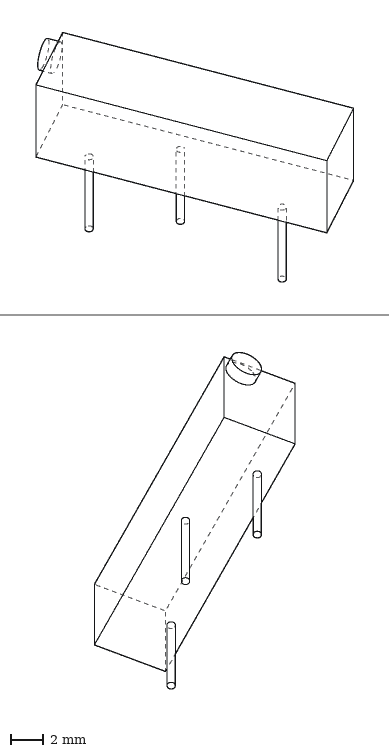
import cadquery as cq

total_length = 19.94
screw_length = 0.85
housing_length = total_length - screw_length
housing_width = 4.83
housing_height = 6.36

screw_diameter = 2.03
screw_edge_distance = 1.14

total_height = 12.7
pin_length = total_height - housing_height
pin_diameter = 0.52
first_pin_x = 3.07
first_pin_y = 1.15
pin_pitch = 2.53
pin_steps = [(0, 0), (2, 1), (5, 0)]


def make_housing():
    return cq.Workplane("XY").box(
        housing_length, housing_width, housing_height, centered=False
    )


def make_screw():
    """Round screw head standing out from the -X face."""
    return (
        cq.Workplane("YZ")
        .center(housing_width - screw_edge_distance, housing_height - screw_edge_distance)
        .circle(screw_diameter / 2)
        .extrude(-screw_length)
    )


def make_pin(x, y):
    """Round pin hanging from the bottom face."""
    return cq.Workplane("XY").center(x, y).circle(pin_diameter / 2).extrude(-pin_length)


housing = make_housing()
screw = make_screw()
pins = []
for step_x, step_y in pin_steps:
    pin = make_pin(first_pin_x + step_x * pin_pitch, first_pin_y + step_y * pin_pitch)
    pins.append(pin.val())

result = cq.Compound.makeCompound([housing.val(), screw.val(), *pins])